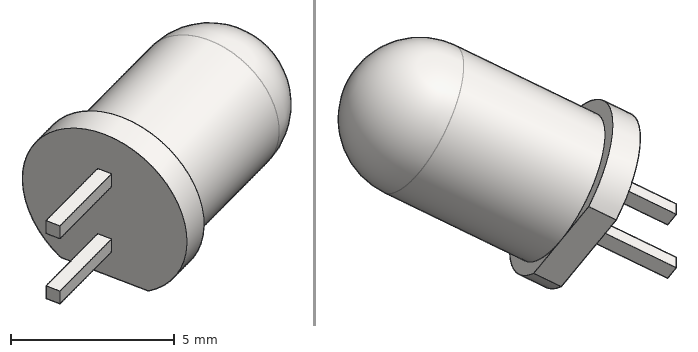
import cadquery as cq

total_length = 11.6
lens_diameter = 5.0
flange_diameter = 5.9
flange_thickness = 1.0
lead_length = 3.0
lead_width = 0.5
lead_pitch = 2.54

lens_radius = lens_diameter / 2
flange_radius = flange_diameter / 2
tip_y = total_length - lead_length
dome_start_y = tip_y - lens_radius


def make_lens():
    """Cylinder with a hemispherical tip, revolved about Y."""
    dome_mid = lens_radius * 0.5 ** 0.5
    return (
        cq.Workplane("XY")
        .lineTo(lens_radius, 0)
        .lineTo(lens_radius, dome_start_y)
        .threePointArc((dome_mid, dome_start_y + dome_mid), (0, tip_y))
        .close()
        .revolve(360, (0, 0, 0), (0, 1, 0))
    )


def make_flange():
    """Disc with its lower edge cut flat, level with the side of the lens."""
    disc = cq.Workplane("XZ").circle(flange_radius).extrude(-flange_thickness)
    kept_height = flange_radius + lens_radius
    kept_region = (
        cq.Workplane("XZ")
        .center(0, -lens_radius + kept_height / 2)
        .rect(flange_diameter, kept_height)
        .extrude(-flange_thickness)
    )
    return disc.intersect(kept_region)


def make_leads():
    """Two square leads, one above the other."""
    return (
        cq.Workplane("XZ")
        .pushPoints([(0, -lead_pitch / 2), (0, lead_pitch / 2)])
        .rect(lead_width, lead_width)
        .extrude(lead_length)
    )


result = make_lens().union(make_flange()).union(make_leads())